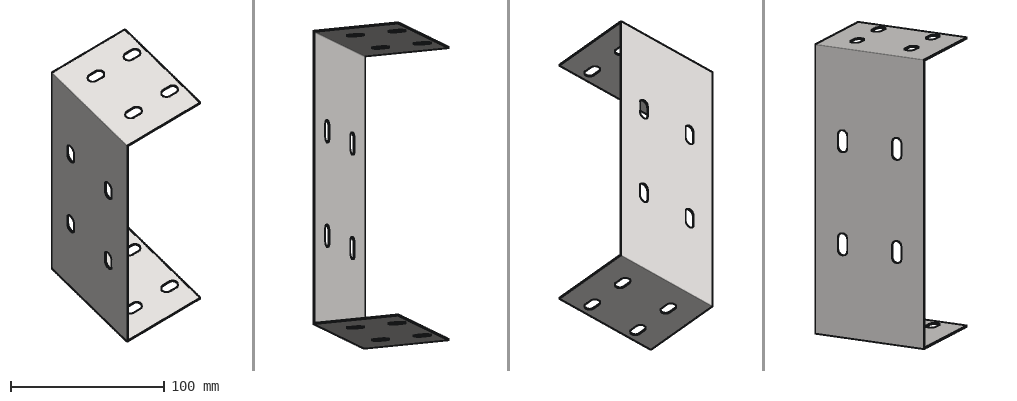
import cadquery as cq

width = 80.0
depth = 60.8
height = 196.7
thickness = 1.0
bend_radius = 0.1

slot_width = 6.9
slot_spacing_x = 40.0
web_slot_length = 15.0
web_slot_spacing_z = 70.0
flange_slot_length = 12.0
flange_slot_spacing_y = 30.0
rear_slot_to_edge = 9.8

front_y = -depth / 2
rear_slot_y = depth / 2 - rear_slot_to_edge
flange_slots_y = rear_slot_y - flange_slot_spacing_y / 2


def channel():
    """Flat web on the -Y side with a flange at the top and bottom."""
    block = cq.Workplane("XY").box(width, depth, height)
    block = block.edges("|X and <Y").fillet(bend_radius)
    opening = cq.Workplane("XY").box(width, depth, height - 2 * thickness)
    opening = opening.edges("|X and <Y").fillet(bend_radius)
    return block.cut(opening.translate((0, thickness, 0)))


def slot_grid(plane, spacing, length, cut_depth):
    """Four upright slots, centred on the plane and extruded both ways."""
    return (
        plane.rarray(slot_spacing_x, spacing, 2, 2)
        .slot2D(length, slot_width, angle=90)
        .extrude(cut_depth, both=True)
    )


web_plane = cq.Workplane("XZ", origin=(0, front_y, 0))
web_slots = slot_grid(web_plane, web_slot_spacing_z, web_slot_length, thickness)

flange_plane = cq.Workplane("XY", origin=(0, flange_slots_y, 0))
flange_slots = slot_grid(flange_plane, flange_slot_spacing_y, flange_slot_length, height)

result = channel().cut(web_slots).cut(flange_slots)